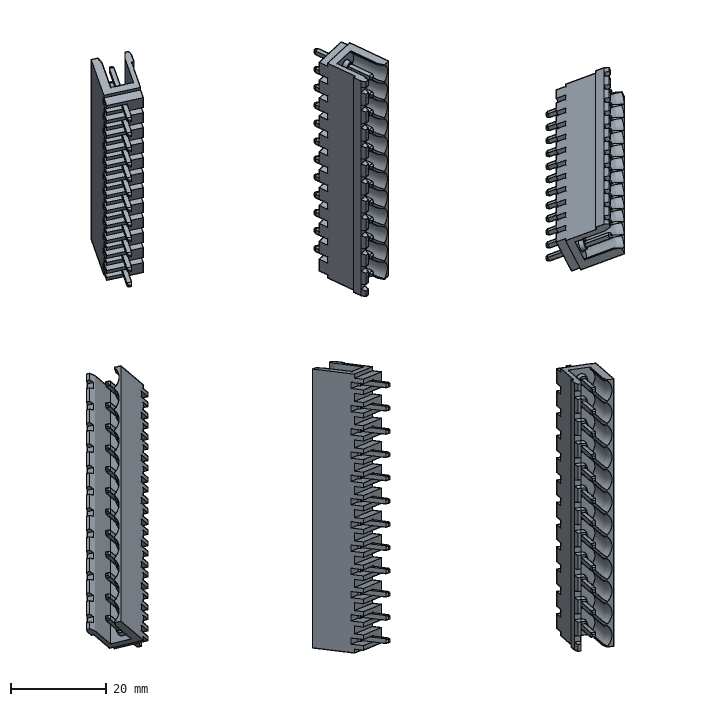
import cadquery as cq


length = 60.0
pin_count = 12
pitch = length / pin_count
pin_heights = [(index + 0.5) * pitch for index in range(pin_count)]

housing_depth = 10.0
housing_width = 8.0
plain_wall_face = 2.0
latch_wall_face = 6.9
cavity_depth = 8.35
mouth_taper_length = 1.5
mouth_taper_rise = 0.5

latch_height = 0.55
latch_end = 2.95
latch_ramp_length = 1.0
latch_ramp_drop = 0.35

notch_depth = 1.0
notch_mouth_width = 1.85
notch_floor_width = 1.4

scallop_center_y = 3.4
scallop_radius = 2.5
scallop_mouth_radius = scallop_radius + mouth_taper_rise

standoff_height = 2.15
standoff_width = 3.3
standoff_end = housing_depth + standoff_height

pin_y = 3.95
pin_start = 1.25
pin_end = 16.2
pin_width = 1.0
pin_tip_width = 0.6
pin_taper_length = 0.55
collar_radius = 1.25
collar_height = 1.1
collar_tip_radius = 1.0

channel_width = 1.3
channel_start = 9.25
channel_step = 9.8
channel_shallow_depth = 3.0
channel_full_depth = pin_y + pin_width / 2


def centered_box(x_start, x_end, depth, width, z):
    """Box from y = 0 to the given depth, centered on height z."""
    box = cq.Workplane("XY").box(x_end - x_start, depth, width, centered=(False, False, True))
    return box.translate((x_start, 0, z))


def make_housing():
    """Extruded U profile with tapered wall tips and the latch rail."""
    latch_top = housing_width + latch_height
    outline = [
        (0, 0),
        (housing_depth, 0),
        (housing_depth, housing_width),
        (latch_end, housing_width),
        (latch_end, latch_top),
        (latch_ramp_length, latch_top),
        (0, latch_top - latch_ramp_drop),
        (0, latch_wall_face + mouth_taper_rise),
        (mouth_taper_length, latch_wall_face),
        (cavity_depth, latch_wall_face),
        (cavity_depth, plain_wall_face),
        (mouth_taper_length, plain_wall_face),
        (0, plain_wall_face - mouth_taper_rise),
    ]
    return cq.Workplane("XY").polyline(outline).close().extrude(length)


def make_notch(z):
    """Cut that narrows from the mouth towards its floor and passes through the latch wall."""
    outline = [
        (0, z - notch_mouth_width / 2),
        (notch_depth, z - notch_floor_width / 2),
        (notch_depth, z + notch_floor_width / 2),
        (0, z + notch_mouth_width / 2),
    ]
    cut_end = housing_width + latch_height
    cut_length = cut_end - latch_wall_face
    return cq.Workplane("XZ", origin=(0, cut_end, 0)).polyline(outline).close().extrude(cut_length)


def make_scallop(z):
    """Round clearance along X, flaring into a cone at the mouth."""
    half_section = [
        (0, 0),
        (0, scallop_mouth_radius),
        (mouth_taper_length, scallop_radius),
        (cavity_depth, scallop_radius),
        (cavity_depth, 0),
    ]
    scallop = cq.Workplane("XY").polyline(half_section).close().revolve(360, (0, 0, 0), (1, 0, 0))
    return scallop.translate((0, scallop_center_y, z))


def make_standoff(z):
    return centered_box(housing_depth, standoff_end, housing_width, standoff_width, z)


def make_channel(z):
    """Channel that stops short of the pin, then clears its full width beyond the step."""
    shallow = centered_box(channel_start, standoff_end, channel_shallow_depth, channel_width, z)
    full = centered_box(channel_step, standoff_end, channel_full_depth, channel_width, z)
    return shallow.union(full)


def make_pin_tip(x_base, x_end):
    """Square pyramid frustum from the full pin section to the narrow tip."""
    return (
        cq.Workplane("YZ", origin=(x_base, 0, 0))
        .rect(pin_width, pin_width)
        .workplane(offset=x_end - x_base)
        .rect(pin_tip_width, pin_tip_width)
        .loft(ruled=True)
    )


def make_pin(z):
    """Square pin tapered at both ends, with a conical collar on the cavity floor."""
    shank_start = pin_start + pin_taper_length
    shank_end = pin_end - pin_taper_length
    shank = (
        cq.Workplane("YZ", origin=(shank_start, 0, 0))
        .rect(pin_width, pin_width)
        .extrude(shank_end - shank_start)
    )
    collar = (
        cq.Workplane("YZ", origin=(cavity_depth - collar_height, 0, 0))
        .circle(collar_tip_radius)
        .workplane(offset=collar_height)
        .circle(collar_radius)
        .loft(ruled=True)
    )
    front_tip = make_pin_tip(shank_start, pin_start)
    back_tip = make_pin_tip(shank_end, pin_end)
    pin = shank.union(front_tip).union(back_tip).union(collar)
    return pin.translate((0, pin_y, z))


result = make_housing()
for pin_z in pin_heights:
    result = result.cut(make_notch(pin_z)).cut(make_scallop(pin_z))
    result = result.union(make_standoff(pin_z)).cut(make_channel(pin_z))
    result = result.union(make_pin(pin_z))